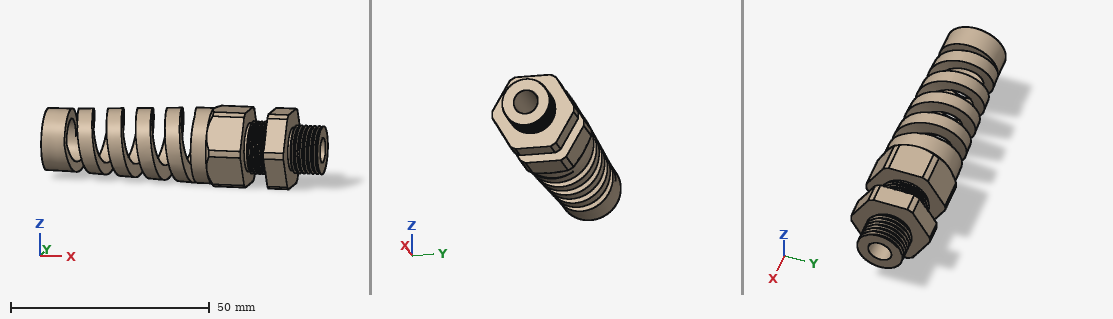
import cadquery as cq
import math


sleeve_end = 6.0
collar_start = 38.9
clamp_hex_start = 42.8
clamp_end = 51.95
body_hex_start = 57.9
body_hex_end = 63.1
total_length = 70.9

hex_flats = 19.05
hex_corners = 21.1
flat_radius = hex_flats / 2
corner_radius = hex_corners / 2

tip_radius = 7.9
sleeve_radius = 7.95
mouth_bore_radius = 5.95
spiral_bore_radius = 5.4
clamp_bore_radius = 5.0
spiral_pitch = 7.6
spiral_gap = 3.75
gap_overrun = 0.7
gap_turns = math.ceil((collar_start - sleeve_end + spiral_gap) / spiral_pitch)

cable_hole_radius = 3.1
neck_root_radius = 6.2
neck_crest_radius = 6.65
neck_pitch = 1.0
neck_ridges = 5
entry_root_radius = 5.45
entry_crest_radius = 6.1
entry_pitch = 1.1
entry_ridges = 6
ridge_half_angle = math.radians(30)


def revolve_about_x(points):
    """Solid of revolution from (x, radius) points."""
    return cq.Workplane("XZ").polyline(points).close().revolve(360, (0, 0, 0), (1, 0, 0))


def hex_prism(start, end):
    """Hexagon along X with flats up and down and its corners turned round."""
    length = end - start
    across_sharp_corners = hex_flats / math.cos(math.pi / 6)
    prism = cq.Workplane("YZ", origin=(start, 0, 0)).polygon(6, across_sharp_corners).extrude(length)
    turned = cq.Workplane("YZ", origin=(start, 0, 0)).circle(corner_radius).extrude(length)
    return prism.intersect(turned)


def ridge_points(peaks, root_radius, crest_radius):
    """(x, radius) points of sharp ridges standing on a plain root."""
    half_base = (crest_radius - root_radius) * math.tan(ridge_half_angle)
    points = []
    for peak in peaks:
        points.append((peak - half_base, root_radius))
        points.append((peak, crest_radius))
        points.append((peak + half_base, root_radius))
    return points


def make_spiral_gap():
    """Helical gap between the turns, limited to the length between sleeve and collar."""
    inner_radius = spiral_bore_radius - gap_overrun
    outer_radius = flat_radius + gap_overrun
    axis_plane = cq.Plane(origin=(sleeve_end - spiral_gap, 0, 0), xDir=(0, 1, 0), normal=(1, 0, 0))
    helix = cq.Wire.makeHelix(spiral_pitch, gap_turns * spiral_pitch, inner_radius)
    path = cq.Workplane(helix.moved(axis_plane.location))
    profile = cq.Workplane("XY").polyline([
        (sleeve_end - spiral_gap, inner_radius),
        (sleeve_end, inner_radius),
        (sleeve_end, outer_radius),
        (sleeve_end - spiral_gap, outer_radius),
    ]).close()
    helical_gap = profile.sweep(path, isFrenet=True)
    spiral_length = cq.Workplane("YZ", origin=(sleeve_end, 0, 0)).circle(outer_radius + gap_overrun)
    return helical_gap.intersect(spiral_length.extrude(collar_start - sleeve_end))


def make_clamp_nut():
    """Clamp nut in one piece with its collar, spiral bend guard and cable sleeve."""
    guard_and_collar = revolve_about_x([
        (0, 0),
        (0, tip_radius),
        (sleeve_end, sleeve_radius),
        (collar_start, flat_radius),
        (clamp_end, flat_radius),
        (clamp_end, 0),
    ])
    lead_in = revolve_about_x([
        (clamp_hex_start, 0),
        (clamp_hex_start, flat_radius),
        (clamp_hex_start + corner_radius - flat_radius, corner_radius),
        (clamp_end, corner_radius),
        (clamp_end, 0),
    ])
    hexagon = hex_prism(clamp_hex_start, clamp_end).intersect(lead_in)
    bore = revolve_about_x([
        (0, 0),
        (0, mouth_bore_radius),
        (sleeve_end, spiral_bore_radius),
        (collar_start, spiral_bore_radius),
        (clamp_end, clamp_bore_radius),
        (clamp_end, 0),
    ])
    guard = guard_and_collar.cut(bore).cut(make_spiral_gap())
    return guard.union(hexagon.cut(bore))


def make_gland_body():
    """Gland body: ringed neck against the clamp nut, hexagon and ringed entry thread."""
    neck_middle = (clamp_end + body_hex_start) / 2
    first_neck_peak = neck_middle - neck_pitch * (neck_ridges - 1) / 2
    neck_peaks = [first_neck_peak + i * neck_pitch for i in range(neck_ridges)]
    entry_peaks = [total_length - i * entry_pitch for i in range(entry_ridges, 0, -1)]
    half_ridge_start = total_length - (entry_crest_radius - entry_root_radius) * math.tan(ridge_half_angle)
    shank = revolve_about_x([
        (clamp_end, 0),
        (clamp_end, neck_root_radius),
        *ridge_points(neck_peaks, neck_root_radius, neck_crest_radius),
        (body_hex_start, neck_root_radius),
        (body_hex_start, entry_root_radius),
        *ridge_points(entry_peaks, entry_root_radius, entry_crest_radius),
        (half_ridge_start, entry_root_radius),
        (total_length, entry_crest_radius),
        (total_length, 0),
    ])
    cable_hole = cq.Workplane("YZ", origin=(clamp_end, 0, 0)).circle(cable_hole_radius)
    body = shank.union(hex_prism(body_hex_start, body_hex_end))
    return body.cut(cable_hole.extrude(total_length - clamp_end))


clamp_nut = make_clamp_nut()
gland_body = make_gland_body()

result = cq.Compound.makeCompound([clamp_nut.solids().val(), gland_body.solids().val()])